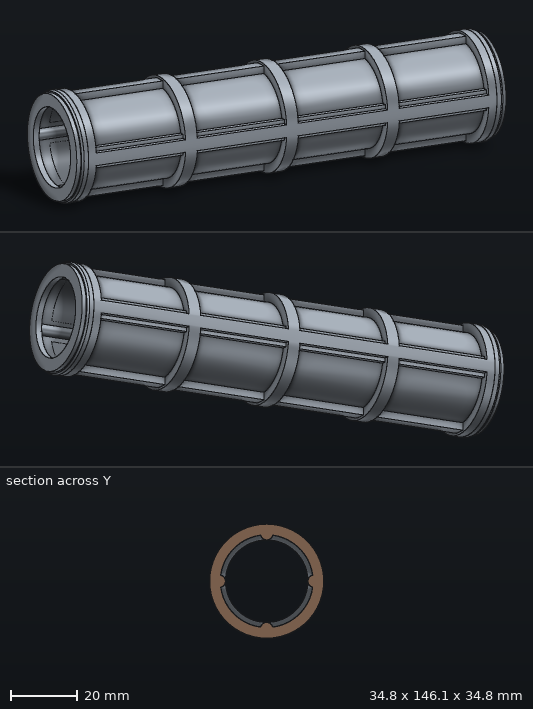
import cadquery as cq

length = 146.05
half_length = length / 2

flange_diameter = 34.8
shoulder_diameter = 34.0
ring_diameter = 34.67
lip_diameter = 33.1
barrel_diameter = 28.7
clearance_diameter = 2 * flange_diameter

lip_length = 1.4
chamfer_end = 2.1
flange_end = 3.6
collar_end = 6.3
mouth_depth = 2.0

ring_count = 3
ring_width = 4.0
window_count = ring_count + 1
window_length = (length - 2 * collar_end - ring_count * ring_width) / window_count
window_pitch = window_length + ring_width

rib_width = 4.0
flat_rib_height = 33.1
step_width = 6.5
step_span = 31.2

mouth_bore = 24.89
chamber_bore = 28.0
ridge_count = 4
ridge_diameter = 3.8


def cylinder(diameter, start, end):
    """Solid cylinder on the Y axis between two Y positions."""
    return cq.Workplane("XZ", origin=(0, start, 0)).circle(diameter / 2).extrude(start - end)


def outer_body():
    """Turned blank: a sleeve of ring diameter with a lipped, chamfered flange at each end."""
    near_end = [
        (lip_diameter / 2, -half_length),
        (lip_diameter / 2, -half_length + lip_length),
        (shoulder_diameter / 2, -half_length + lip_length),
        (flange_diameter / 2, -half_length + chamfer_end),
        (flange_diameter / 2, -half_length + flange_end),
        (ring_diameter / 2, -half_length + flange_end),
    ]
    far_end = [(radius, -y) for radius, y in reversed(near_end)]
    profile = [(0, -half_length)] + near_end + far_end + [(0, half_length)]
    return cq.Workplane("XY").polyline(profile).close().revolve(360, (0, 0, 0), (0, 1, 0))


def window(start):
    """Material removed around the barrel in one window, leaving the ribs standing."""
    end = start + window_length
    middle = (start + end) / 2
    flat_ribs = cq.Workplane("XY").box(rib_width, window_length, flat_rib_height)
    side_ribs = cq.Workplane("XY").box(clearance_diameter, window_length, rib_width)
    steps = cq.Workplane("XY").box(step_span, window_length, step_width)
    ribs = flat_ribs.union(side_ribs).union(steps).translate((0, middle, 0))
    surround = cylinder(clearance_diameter, start, end)
    return surround.cut(cylinder(barrel_diameter, start, end)).cut(ribs)


def bore():
    """Through bore with narrow mouths; the ridges rise to the mouth diameter."""
    chamber_end = half_length - mouth_depth
    chamber = cylinder(chamber_bore, -chamber_end, chamber_end)
    ridge_centre = (mouth_bore + ridge_diameter) / 2
    ridge = cylinder(ridge_diameter, -chamber_end, chamber_end).translate((ridge_centre, 0, 0))
    for index in range(ridge_count):
        angle = 360 / ridge_count * index
        chamber = chamber.cut(ridge.rotate((0, 0, 0), (0, 1, 0), angle))
    return chamber.union(cylinder(mouth_bore, -half_length, half_length))


result = outer_body()
for window_index in range(window_count):
    window_start = -half_length + collar_end + window_index * window_pitch
    result = result.cut(window(window_start))
result = result.cut(bore())